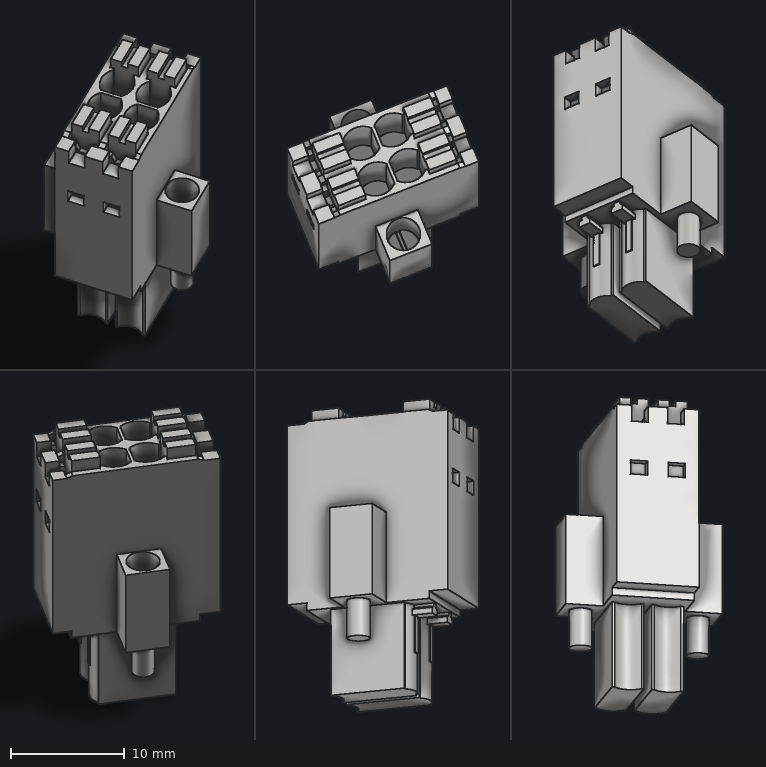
import cadquery as cq


body_width = 7.42
body_length = 15.2
body_bottom = 7.8
end_top = 24.75
ridge_top = 24.95
ridge_foot = 6.2
ridge_crest = 5.68
lip_height = 0.68
lip_y_min = -5.73
lip_y_max = 5.85

column_pitch = 3.5
column_middle = 0.08
column_centres = [column_middle - column_pitch / 2, column_middle + column_pitch / 2]
row_middle = 0.1
row_sides = [-1, 1]

lever_width = 2.63
lever_inner = 3.02
lever_outer = 5.6
lever_top = 26.05
lever_slot_width = 0.57
lever_slot_depth = 0.52
pocket_width = 2.81
pocket_outer = ridge_crest
pocket_floor = 18.24
ledge_outer = ridge_foot
ledge_top = 24.1
trough_floor = 23.45
trough_floor_width = 0.89
trough_top_width = 1.55

wire_middle = 1.48
wire_half_length = 1.33
wire_half_width = 1.5
wire_flat_width = 1.93
wire_shift = 0.05

notch_width = 1.5
notch_spacing = 3.25
notch_floor = 23.3
window_width = 1.54
window_spacing = 3.4
window_bottom = 18.45
window_height = 1.28
window_depth = 0.85

overall_width = 14.15
flange_length = 4.0
flange_top = 16.0
flange_y = -0.2
flange_reach = (overall_width - body_width) / 2

screw_x = 5.3
bore_radius = 1.48
bore_floor = 10.42
head_radius = 1.4
head_height = 1.55
screw_slot_width = 0.35
screw_slot_depth = 0.4
shank_radius = 1.02
shank_bottom = 4.38

prong_centre = 1.8
prong_width = 2.87
prong_front = -3.65
prong_back = 3.3
groove_centre = 1.77
groove_width = 2.42
groove_depth = 0.52
rib_width = 0.63
rib_back = 3.9
rib_bottom = 3.5
latch_back = 5.63
latch_bottom = 6.8
latch_width = 1.2
latch_shoulder = 7.32
latch_neck = 7.5


def block(x_range, y_range, z_range):
    """Box between the given limits along X, Y and Z."""
    lows = [min(limits) for limits in (x_range, y_range, z_range)]
    sizes = [abs(limits[1] - limits[0]) for limits in (x_range, y_range, z_range)]
    return cq.Workplane("XY").box(*sizes, centered=False).translate(tuple(lows))


def span(centre, width):
    """Limits of a width placed symmetrically about a centre."""
    return centre - width / 2, centre + width / 2


def row_y(side, distance):
    """Y position at a distance from the middle of the two rows."""
    return row_middle + side * distance


def make_core():
    """Main block with its raised top, lower lip and two flanges."""
    outline = [
        (-body_length / 2, body_bottom + lip_height),
        (lip_y_min, body_bottom + lip_height),
        (lip_y_min, body_bottom),
        (lip_y_max, body_bottom),
        (lip_y_max, body_bottom + lip_height),
        (body_length / 2, body_bottom + lip_height),
        (body_length / 2, end_top),
        (row_y(1, ridge_foot), end_top),
        (row_y(1, ridge_crest), ridge_top),
        (row_y(-1, ridge_crest), ridge_top),
        (row_y(-1, ridge_foot), end_top),
        (-body_length / 2, end_top),
    ]
    core = cq.Workplane("YZ").polyline(outline).close().extrude(body_width / 2, both=True)
    for side in (-1, 1):
        flange_x = side * (body_width + flange_reach) / 2
        core = core.union(
            block(span(flange_x, flange_reach), span(flange_y, flange_length), (body_bottom, flange_top))
        )
    return core


def lever_recess(x, side):
    """Deep lever pocket with a troughed ledge beside it, next to the end wall."""
    x_limits = span(x, pocket_width)
    pocket = block(x_limits, (row_y(side, lever_inner), row_y(side, pocket_outer)), (pocket_floor, lever_top))
    ledge_limits = (row_y(side, pocket_outer), row_y(side, ledge_outer))
    ledge_room = block(x_limits, ledge_limits, (ledge_top, lever_top))
    trough = (
        cq.Workplane("XZ", origin=(x, max(ledge_limits), 0))
        .moveTo(-trough_floor_width / 2, trough_floor)
        .lineTo(trough_floor_width / 2, trough_floor)
        .lineTo(trough_top_width / 2, ledge_top)
        .lineTo(-trough_top_width / 2, ledge_top)
        .close()
        .extrude(abs(ledge_limits[1] - ledge_limits[0]))
    )
    return pocket.union(ledge_room).union(trough)


def wire_entry(x, side):
    """Barrel-shaped wire hole that opens through a neck into the lever pocket."""
    half_flat = wire_flat_width / 2
    near = row_y(side, wire_middle - wire_half_length)
    middle = row_y(side, wire_middle)
    far = row_y(side, wire_middle + wire_half_length)
    pocket_edge = row_y(side, lever_inner)
    return (
        cq.Workplane("XY", origin=(x - side * wire_shift, 0, pocket_floor))
        .moveTo(-half_flat, near)
        .lineTo(half_flat, near)
        .threePointArc((wire_half_width, middle), (half_flat, far))
        .lineTo(half_flat, pocket_edge)
        .lineTo(-half_flat, pocket_edge)
        .lineTo(-half_flat, far)
        .threePointArc((-wire_half_width, middle), (-half_flat, near))
        .close()
        .extrude(ridge_top - pocket_floor)
    )


def end_notch(x, side):
    """Notch through the top of an end wall, in front of a lever."""
    y_limits = (row_y(side, ledge_outer), side * body_length / 2)
    return block(span(x, notch_width), y_limits, (notch_floor, end_top))


def test_window(x, side):
    """Shallow rectangular window in an end face."""
    end_y = side * body_length / 2
    z_limits = (window_bottom, window_bottom + window_height)
    return block(span(x, window_width), (end_y - side * window_depth, end_y), z_limits)


def screw_bore(x):
    """Stepped hole through a flange, for a screw head and its shank."""
    shank_hole = (
        cq.Workplane("XY", origin=(x, flange_y, body_bottom))
        .circle(shank_radius)
        .extrude(bore_floor - body_bottom)
    )
    head_hole = (
        cq.Workplane("XY", origin=(x, flange_y, bore_floor))
        .circle(bore_radius)
        .extrude(flange_top - bore_floor)
    )
    return shank_hole.union(head_hole)


def make_prong(side):
    """Plug prong with a hollow front and a matching round back."""
    groove_x = side * groove_centre
    left, right = span(side * prong_centre, prong_width)
    groove_left, groove_right = span(groove_x, groove_width)
    return (
        cq.Workplane("XY")
        .moveTo(left, prong_front)
        .lineTo(groove_left, prong_front)
        .threePointArc((groove_x, prong_front + groove_depth), (groove_right, prong_front))
        .lineTo(right, prong_front)
        .lineTo(right, prong_back)
        .lineTo(groove_right, prong_back)
        .threePointArc((groove_x, prong_back + groove_depth), (groove_left, prong_back))
        .lineTo(left, prong_back)
        .close()
        .extrude(body_bottom)
    )


def make_latch(side):
    """Rib along the back of a prong and the T-shaped latch at its root."""
    x = side * groove_centre
    rib = block(span(x, rib_width), (prong_back, rib_back), (rib_bottom, body_bottom))
    profile = [
        (-latch_width / 2, latch_bottom),
        (latch_width / 2, latch_bottom),
        (latch_width / 2, latch_shoulder),
        (rib_width / 2, latch_neck),
        (rib_width / 2, body_bottom),
        (-rib_width / 2, body_bottom),
        (-rib_width / 2, latch_neck),
        (-latch_width / 2, latch_shoulder),
    ]
    latch = (
        cq.Workplane("XZ", origin=(x, latch_back, 0))
        .polyline(profile)
        .close()
        .extrude(latch_back - prong_back)
    )
    return rib.union(latch)


def make_housing():
    """Housing with its prongs, latches and all openings."""
    housing = make_core()
    for side in (-1, 1):
        housing = housing.union(make_prong(side)).union(make_latch(side))
        housing = housing.cut(screw_bore(side * screw_x))
    for row_side in row_sides:
        for x in column_centres:
            housing = housing.cut(lever_recess(x, row_side)).cut(wire_entry(x, row_side))
        for column_side in (-1, 1):
            housing = housing.cut(end_notch(column_side * notch_spacing / 2, row_side))
            housing = housing.cut(test_window(column_side * window_spacing / 2, row_side))
    return housing


def make_lever(x, side):
    """Push lever standing on its pocket floor, with a screwdriver slot along its top."""
    y_limits = (row_y(side, lever_inner), row_y(side, lever_outer))
    lever = block(span(x, lever_width), y_limits, (pocket_floor, lever_top))
    slot = block(span(x, lever_slot_width), y_limits, (lever_top - lever_slot_depth, lever_top))
    return lever.cut(slot)


def make_screw(x):
    """Slotted screw seated on the floor of a flange bore."""
    head_top = bore_floor + head_height
    shank = (
        cq.Workplane("XY", origin=(x, flange_y, shank_bottom))
        .circle(shank_radius)
        .extrude(bore_floor - shank_bottom)
    )
    head = cq.Workplane("XY", origin=(x, flange_y, bore_floor)).circle(head_radius).extrude(head_height)
    slot = block(
        span(x, 2 * head_radius),
        span(flange_y, screw_slot_width),
        (head_top - screw_slot_depth, head_top),
    )
    return shank.union(head).cut(slot)


housing = make_housing()
levers = [make_lever(x, side) for side in row_sides for x in column_centres]
screws = [make_screw(side * screw_x) for side in (-1, 1)]

result = cq.Compound.makeCompound(
    [housing.val(), *[lever.val() for lever in levers], *[screw.val() for screw in screws]]
)